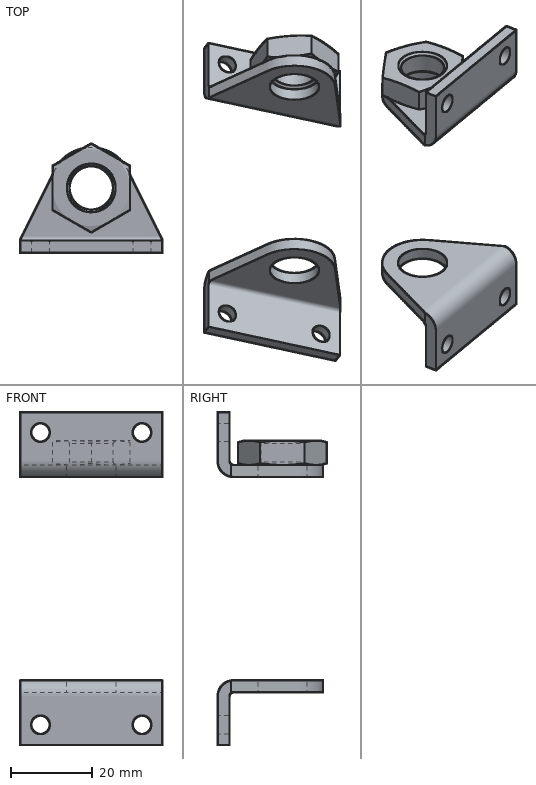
import cadquery as cq
import math

width = 35.0
thickness = 3.0
flange_height = 16.0
inner_bend_radius = 1.0
outer_bend_radius = inner_bend_radius + thickness
eye_offset = 16.0
flange_face = -eye_offset
eye_radius = 10.0
eye_hole_diameter = 12.1
screw_hole_diameter = 4.5
screw_hole_spacing = 25.0
screw_hole_edge = 5.0
shoulder_depth = 3.3

overall_height = 82.0

nut_across_flats = 19.0
nut_sides = 6
nut_across_corners = nut_across_flats / math.cos(math.pi / nut_sides)
nut_height = 6.0
nut_bore_diameter = 10.65
nut_thread_diameter = 12.0
nut_face_diameter = 18.9
nut_corner_angle = 15.0
nut_corner_width = (nut_across_corners - nut_face_diameter) / 2
nut_corner_drop = nut_corner_width * math.tan(math.radians(nut_corner_angle))
nut_bore_chamfer = (nut_thread_diameter - nut_bore_diameter) / 2


def bent_strip():
    """Full-width L section, plate on Z = 0, flange pointing up."""
    back_face = flange_face + thickness
    return (
        cq.Workplane("YZ")
        .moveTo(eye_radius, 0)
        .lineTo(flange_face + outer_bend_radius, 0)
        .radiusArc((flange_face, outer_bend_radius), outer_bend_radius)
        .lineTo(flange_face, flange_height)
        .lineTo(back_face, flange_height)
        .lineTo(back_face, outer_bend_radius)
        .radiusArc((back_face + inner_bend_radius, thickness), -inner_bend_radius)
        .lineTo(eye_radius, thickness)
        .close()
        .extrude(width / 2, both=True)
    )


def plan_outline():
    """Plan shape: full-width shoulders with sides running tangent into the round eye."""
    half_width = width / 2
    shoulder = flange_face + shoulder_depth
    corner_distance = math.hypot(half_width, shoulder)
    tangent_angle = math.atan2(shoulder, half_width) + math.acos(eye_radius / corner_distance)
    tangent_x = eye_radius * math.cos(tangent_angle)
    tangent_y = eye_radius * math.sin(tangent_angle)
    return (
        cq.Workplane("XY")
        .moveTo(-half_width, flange_face)
        .lineTo(half_width, flange_face)
        .lineTo(half_width, shoulder)
        .lineTo(tangent_x, tangent_y)
        .threePointArc((0, eye_radius), (-tangent_x, tangent_y))
        .lineTo(-half_width, shoulder)
        .close()
        .extrude(flange_height)
    )


def make_bracket():
    eye_hole = cq.Workplane("XY").circle(eye_hole_diameter / 2).extrude(thickness)
    screw_holes = (
        cq.Workplane("XZ", origin=(0, flange_face, flange_height - screw_hole_edge))
        .rarray(screw_hole_spacing, 1, 2, 1)
        .circle(screw_hole_diameter / 2)
        .extrude(-thickness)
    )
    return bent_strip().intersect(plan_outline()).cut(eye_hole).cut(screw_holes)


def make_nut():
    """Hexagon nut on Z = 0, corners on the Y axis, corners and bore chamfered at both ends."""
    bore_radius = nut_bore_diameter / 2
    thread_radius = nut_thread_diameter / 2
    face_radius = nut_face_diameter / 2
    corner_radius = nut_across_corners / 2
    hexagon = (
        cq.Workplane("XY")
        .transformed(rotate=(0, 0, 90))
        .polygon(nut_sides, nut_across_corners)
        .extrude(nut_height)
    )
    turned_shape = (
        cq.Workplane("XZ")
        .moveTo(bore_radius, nut_bore_chamfer)
        .lineTo(thread_radius, 0)
        .lineTo(face_radius, 0)
        .lineTo(corner_radius, nut_corner_drop)
        .lineTo(corner_radius, nut_height - nut_corner_drop)
        .lineTo(face_radius, nut_height)
        .lineTo(thread_radius, nut_height)
        .lineTo(bore_radius, nut_height - nut_bore_chamfer)
        .close()
        .revolve(360, (0, 0, 0), (0, 1, 0))
    )
    return hexagon.intersect(turned_shape)


upper_plate_bottom = overall_height - flange_height
brackets = []
for mirrored in (False, True):
    bracket = make_bracket().translate((0, 0, upper_plate_bottom))
    if mirrored:
        bracket = bracket.mirror("XY", (0, 0, overall_height / 2))
    brackets.append(bracket.val())

nut = make_nut().translate((0, 0, upper_plate_bottom + thickness))

result = cq.Compound.makeCompound([*brackets, nut.val()])